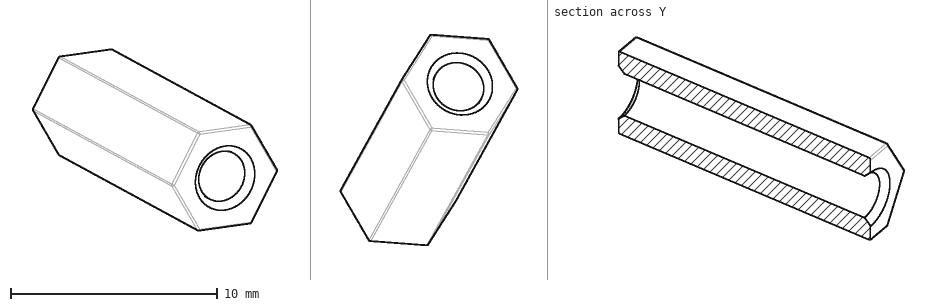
import cadquery as cq
import math

length = 15.0
across_flats = 5.0
edge_radius = 0.1

bore_diameter = 2.5
mouth_diameter = 3.22
lead_in_depth = (mouth_diameter - bore_diameter) / 2


def rounded_hex_bar():
    across_corners = across_flats / math.cos(math.pi / 6)
    bar = cq.Workplane("YZ").polygon(6, across_corners).extrude(length)
    return bar.edges().fillet(edge_radius)


def bore_with_lead_ins():
    bore_radius = bore_diameter / 2
    mouth_radius = mouth_diameter / 2
    half_profile = (
        cq.Workplane("XY")
        .moveTo(0, 0)
        .lineTo(0, mouth_radius)
        .lineTo(lead_in_depth, bore_radius)
        .lineTo(length - lead_in_depth, bore_radius)
        .lineTo(length, mouth_radius)
        .lineTo(length, 0)
        .close()
    )
    return half_profile.revolve(360, (0, 0, 0), (1, 0, 0))


result = rounded_hex_bar().cut(bore_with_lead_ins())